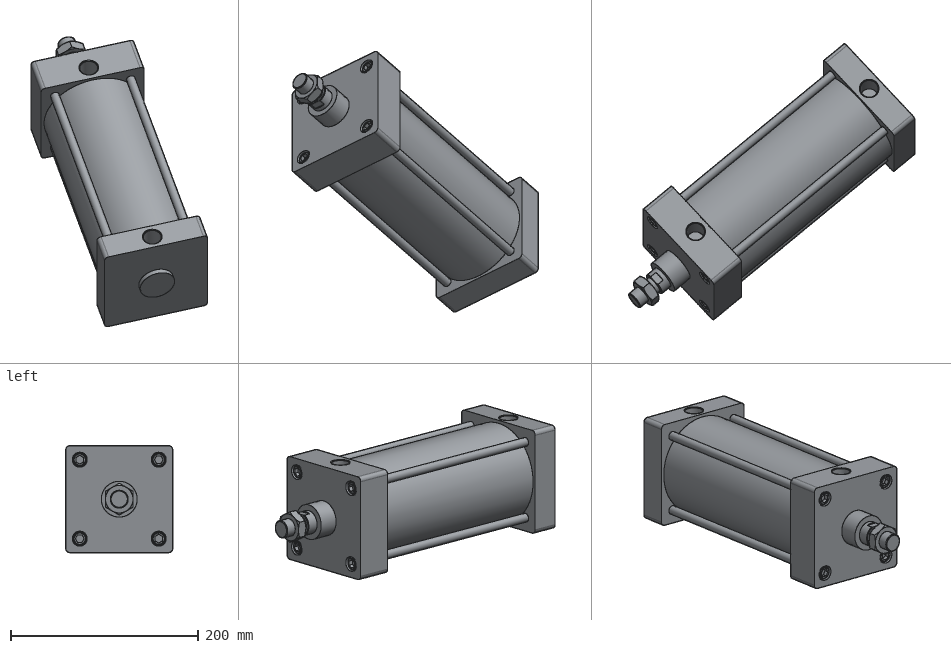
import cadquery as cq
import math


HEX_SIDES = 6


def across_corners(across_flats):
    """Corner-to-corner width of a hexagon, from its width across flats."""
    return across_flats / math.cos(math.pi / HEX_SIDES)


TOTAL_LENGTH = 354.5
FRONT_CAP_START = 63.0
FRONT_CAP_LENGTH = 39.7
FRONT_CAP_END = FRONT_CAP_START + FRONT_CAP_LENGTH
REAR_BOSS_LENGTH = 5.3
REAR_CAP_END = TOTAL_LENGTH - REAR_BOSS_LENGTH
REAR_CAP_LENGTH = 29.5
REAR_CAP_START = REAR_CAP_END - REAR_CAP_LENGTH

CAP_SIDE = 114.5
CAP_CORNER_RADIUS = 4.5
BOSS_DIAMETER = 38.3
FRONT_BOSS_START = 41.0
PORT_DIAMETER = 19.0
PORT_MOUTH_DIAMETER = 21.0
PORT_CHAMFER = (PORT_MOUTH_DIAMETER - PORT_DIAMETER) / 2
PORT_CHAMFER_ANGLE = 45
PORT_DEPTH = 26.5
FRONT_PORT_X = 87.5
REAR_PORT_X = 334.5

BARREL_DIAMETER = 108.0
BORE_DIAMETER = 101.7

ROD_DIAMETER = 25.5
THREAD_DIAMETER = 19.0
TIP_DIAMETER = 17.5
TIP_CHAMFER = (THREAD_DIAMETER - TIP_DIAMETER) / 2
SHOULDER_X = 28.5
ROD_CHAMFER = 0.7
WRENCH_FLAT_WIDTH = 22.7
WRENCH_FLAT_END = 36.0

NUT_START = 12.0
NUT_LENGTH = 10.5
NUT_ACROSS_FLATS = 29.5
NUT_ACROSS_CORNERS = across_corners(NUT_ACROSS_FLATS)
NUT_FACE_DIAMETER = NUT_ACROSS_FLATS
NUT_CHAMFER_ANGLE = 30

TIE_ROD_COUNT = 4
TIE_ROD_OFFSET = 42.0
TIE_ROD_DIAMETER = 9.5
TIE_ROD_END_WALL = 7.0
TIE_ROD_END = REAR_CAP_END - TIE_ROD_END_WALL
HEAD_DIAMETER = 14.0
HEAD_TOP_DIAMETER = 12.0
HEAD_CHAMFER = (HEAD_DIAMETER - HEAD_TOP_DIAMETER) / 2
HEAD_LENGTH = 9.5
HEAD_RECESS = 1.0
COUNTERBORE_DIAMETER = 16.0
SOCKET_ACROSS_FLATS = 8.0
SOCKET_DEPTH = 5.0


def cylinder(start, end, diameter):
    """Cylinder on the X axis between two X positions."""
    return cq.Workplane("YZ", origin=(start, 0, 0)).circle(diameter / 2).extrude(end - start)


def hexagon(start, end, across_flats):
    """Hexagonal prism on the X axis with flats facing +Y and -Y."""
    outline = cq.Workplane("YZ", origin=(start, 0, 0)).polygon(HEX_SIDES, across_corners(across_flats))
    prism = outline.extrude(end - start)
    return prism.rotate((0, 0, 0), (1, 0, 0), 180 / HEX_SIDES)


def at_tie_rods(shape):
    """Four copies of a shape, turned about the X axis from its place on the +Y, +Z diagonal."""
    corner = shape.translate((0, TIE_ROD_OFFSET, TIE_ROD_OFFSET))
    return [corner.rotate((0, 0, 0), (1, 0, 0), i * 360 / TIE_ROD_COUNT) for i in range(TIE_ROD_COUNT)]


def cap_block(start, end):
    """Square block with its four long edges rounded."""
    block = cq.Workplane("YZ", origin=(start, 0, 0)).rect(CAP_SIDE, CAP_SIDE).extrude(end - start)
    return block.edges("|X").fillet(CAP_CORNER_RADIUS)


def port(x):
    """Blind port with a chamfered mouth, going down from the top face of a cap."""
    top = CAP_SIDE / 2
    hole = cq.Workplane("XY", origin=(x, 0, top)).circle(PORT_DIAMETER / 2).extrude(-PORT_DEPTH)
    mouth = cq.Workplane("XY", origin=(x, 0, top)).circle(PORT_MOUTH_DIAMETER / 2)
    return hole.union(mouth.extrude(-PORT_CHAMFER, taper=PORT_CHAMFER_ANGLE))


def make_front_cap():
    """Square cap with a rod boss, a top port and counterbored tie rod holes."""
    cap = cap_block(FRONT_CAP_START, FRONT_CAP_END)
    cap = cap.union(cylinder(FRONT_BOSS_START, FRONT_CAP_START, BOSS_DIAMETER))
    cap = cap.cut(cylinder(FRONT_BOSS_START, FRONT_CAP_END, ROD_DIAMETER))
    cap = cap.cut(port(FRONT_PORT_X))
    counterbore_end = FRONT_CAP_START + HEAD_RECESS + HEAD_LENGTH
    counterbore = cylinder(FRONT_CAP_START, counterbore_end, COUNTERBORE_DIAMETER)
    rod_hole = cylinder(FRONT_CAP_START, FRONT_CAP_END, TIE_ROD_DIAMETER)
    for hole in at_tie_rods(counterbore.union(rod_hole)):
        cap = cap.cut(hole)
    return cap


def make_rear_cap():
    """Square cap with a plain boss, a top port and blind tie rod holes."""
    cap = cap_block(REAR_CAP_START, REAR_CAP_END)
    cap = cap.union(cylinder(REAR_CAP_END, TOTAL_LENGTH, BOSS_DIAMETER))
    cap = cap.cut(port(REAR_PORT_X))
    for hole in at_tie_rods(cylinder(REAR_CAP_START, TIE_ROD_END, TIE_ROD_DIAMETER)):
        cap = cap.cut(hole)
    return cap


def make_barrel():
    """Plain tube between the two caps."""
    tube = cylinder(FRONT_CAP_END, REAR_CAP_START, BARREL_DIAMETER)
    return tube.cut(cylinder(FRONT_CAP_END, REAR_CAP_START, BORE_DIAMETER))


def make_piston_rod():
    """Rod with a narrower chamfered tip, a chamfered shoulder and two wrench flats facing +Z and -Z."""
    shank = cylinder(SHOULDER_X, FRONT_CAP_END, ROD_DIAMETER).faces("<X").chamfer(ROD_CHAMFER)
    between_flats = cq.Workplane("YZ", origin=(SHOULDER_X, 0, 0)).rect(ROD_DIAMETER, WRENCH_FLAT_WIDTH)
    between_flats = between_flats.extrude(WRENCH_FLAT_END - SHOULDER_X)
    outside_flats = cylinder(SHOULDER_X, WRENCH_FLAT_END, ROD_DIAMETER).cut(between_flats)
    thread = cylinder(0, SHOULDER_X, THREAD_DIAMETER).faces("<X").chamfer(TIP_CHAMFER)
    return shank.cut(outside_flats).union(thread)


def make_nut():
    """Hexagonal nut with its corners chamfered at both ends."""
    end = NUT_START + NUT_LENGTH
    nut = hexagon(NUT_START, end, NUT_ACROSS_FLATS)
    radial = (NUT_ACROSS_CORNERS - NUT_FACE_DIAMETER) / 2
    axial = radial * math.tan(math.radians(NUT_CHAMFER_ANGLE))
    envelope = cylinder(NUT_START, end, NUT_ACROSS_CORNERS)
    envelope = envelope.faces("<X").chamfer(axial, radial).faces(">X").chamfer(axial, radial)
    return nut.intersect(envelope).cut(cylinder(NUT_START, end, THREAD_DIAMETER))


def make_tie_rods():
    """Four round rods, each with a chamfered hexagon-socket head sunk in the front cap."""
    head_start = FRONT_CAP_START + HEAD_RECESS
    head_end = head_start + HEAD_LENGTH
    head = cylinder(head_start, head_end, HEAD_DIAMETER).faces("<X").chamfer(HEAD_CHAMFER)
    rod = head.union(cylinder(head_end, TIE_ROD_END, TIE_ROD_DIAMETER))
    rod = rod.cut(hexagon(head_start, head_start + SOCKET_DEPTH, SOCKET_ACROSS_FLATS))
    return at_tie_rods(rod)


front_cap = make_front_cap()
rear_cap = make_rear_cap()
barrel = make_barrel()
piston_rod = make_piston_rod()
nut = make_nut()
tie_rods = make_tie_rods()

result = cq.Compound.makeCompound(
    [
        front_cap.val(),
        rear_cap.val(),
        barrel.val(),
        piston_rod.val(),
        nut.val(),
        *[tie_rod.val() for tie_rod in tie_rods],
    ]
)